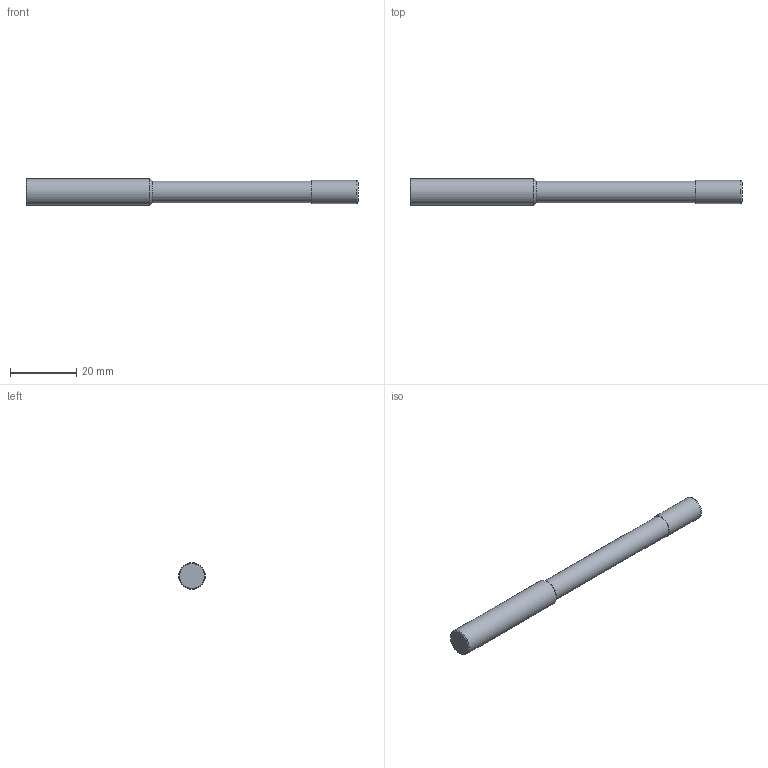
import cadquery as cq
import math

total_length = 100.0

shank_diameter = 8.0
shank_end_chamfer = 0.25
neck_diameter = 6.6
neck_start = 38.0

head_diameter = 7.0
head_length = 14.0
corner_radius = 0.5

shank_radius = shank_diameter / 2
neck_radius = neck_diameter / 2
head_radius = head_diameter / 2
shoulder_length = shank_radius - neck_radius
head_start = total_length - head_length


def turn(profile):
    """Revolve a closed half profile, drawn in X and Z, around the X axis."""
    return profile.revolve(360, (0, 0, 0), (1, 0, 0))


def make_holder():
    """Shank, shoulder and neck, ending flat against the cutting head."""
    profile = (
        cq.Workplane("XZ")
        .lineTo(0, shank_radius - shank_end_chamfer)
        .lineTo(shank_end_chamfer, shank_radius)
        .lineTo(neck_start - shoulder_length, shank_radius)
        .lineTo(neck_start, neck_radius)
        .lineTo(head_start, neck_radius)
        .lineTo(head_start, 0)
        .close()
    )
    return turn(profile)


def make_cutting_head():
    """Plain cylinder of the cutting diameter with a rounded front corner."""
    arc_center_x = total_length - corner_radius
    arc_center_z = head_radius - corner_radius
    arc_mid_offset = corner_radius * math.sqrt(0.5)
    profile = (
        cq.Workplane("XZ")
        .moveTo(head_start, 0)
        .lineTo(head_start, head_radius)
        .lineTo(arc_center_x, head_radius)
        .threePointArc(
            (arc_center_x + arc_mid_offset, arc_center_z + arc_mid_offset),
            (total_length, arc_center_z),
        )
        .lineTo(total_length, 0)
        .close()
    )
    return turn(profile)


holder = make_holder()
cutting_head = make_cutting_head()

result = cq.Compound.makeCompound([holder.val(), cutting_head.val()])